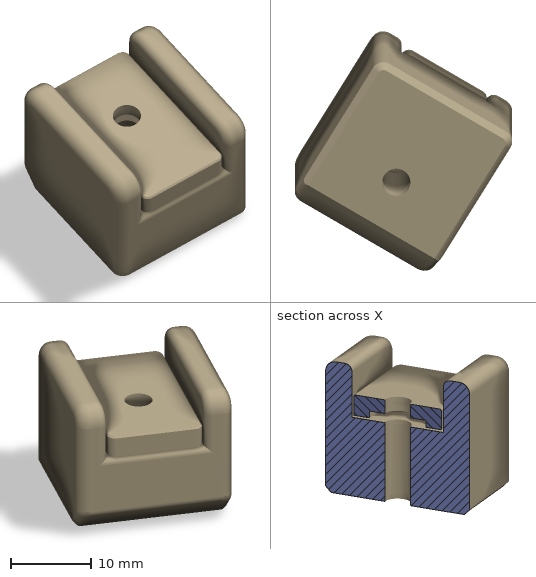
import cadquery as cq
length = 21.5
width = 20.0
height = 17.5
top_corner_radius = 2.5
outer_edge_radius = 1.5
slope_size = 3.0
slope_edge_radius = 0.99
base_chamfer = 0.8

channel_width = 12.6
channel_floor_z = 10.5
channel_edge_radius = 1.0
front_floor_radius = 0.77

side_clearance = 0.24
floor_clearance = 0.25
plate_length = length
plate_width = channel_width - 2 * side_clearance
plate_thickness = 2.77
plate_bottom_z = channel_floor_z + floor_clearance
plate_corner_radius = 0.99
plate_chamfer = 0.2
recess_diameter = 7.75
recess_depth = 0.9

hole_diameter = 3.5
hole_x = -1.75

slope_end_x = slope_size - length / 2
slope_direction = cq.Vector(-1, 0, -1)


def make_block():
    """Solid block with a sloped lower front corner and rounded outer edges."""
    block = cq.Workplane("XY").box(length, width, height, centered=(True, True, False))
    block = block.edges("|Y and >Z").fillet(top_corner_radius)
    block = block.edges("|Y and <X and <Z").chamfer(slope_size)

    slope = block.faces(cq.DirectionMinMaxSelector(slope_direction))
    sharp_edges = block.faces("<Z").add(slope).edges().vals()
    outline_edges = [
        edge
        for edge in block.faces("<Y or >Y").edges().vals()
        if not any(edge.isSame(sharp) for sharp in sharp_edges)
    ]
    block = block.newObject(outline_edges).fillet(outer_edge_radius)

    base_edges = block.faces("<Z").edges().vals()
    block = block.newObject([e for e in base_edges if e.Center().x > slope_end_x + 0.22]).chamfer(base_chamfer)

    slope_edges = block.faces(cq.DirectionMinMaxSelector(slope_direction)).edges().vals()
    return block.newObject([e for e in slope_edges if e.Center().z > base_chamfer]).fillet(slope_edge_radius)


def hole_tool():
    """Cylinder that drills the screw hole through the full height."""
    return cq.Workplane("XY").center(hole_x, 0).circle(hole_diameter / 2).extrude(height)


def make_housing():
    """Block with an open channel along X and the screw hole through its floor."""
    channel = (
        cq.Workplane("XY")
        .workplane(offset=channel_floor_z)
        .rect(length, channel_width)
        .extrude(height - channel_floor_z)
    )
    housing = make_block().cut(channel)

    wall_zone = cq.selectors.BoxSelector(
        (-length, -channel_width / 2 - 0.22, channel_floor_z + 0.22),
        (length, channel_width / 2 + 0.22, height + 0.22),
    )
    housing = housing.edges(wall_zone).fillet(channel_edge_radius)
    for end_x, radius in ((-length / 2, front_floor_radius), (length / 2, channel_edge_radius)):
        floor_edge = cq.NearestToPointSelector((end_x, 0, channel_floor_z))
        housing = housing.edges(floor_edge).fillet(radius)
    return housing.cut(hole_tool())


def make_plate():
    """Rounded plate with the screw hole and a wider recess around it underneath."""
    plate = (
        cq.Workplane("XY")
        .workplane(offset=plate_bottom_z)
        .rect(plate_length, plate_width)
        .extrude(plate_thickness)
        .edges("|Z")
        .fillet(plate_corner_radius)
        .faces(">Z")
        .chamfer(plate_chamfer)
    )
    recess = (
        cq.Workplane("XY")
        .workplane(offset=plate_bottom_z)
        .center(hole_x, 0)
        .circle(recess_diameter / 2)
        .extrude(recess_depth)
    )
    return plate.cut(hole_tool()).cut(recess)


housing = make_housing()
plate = make_plate()
result = cq.Compound.makeCompound([housing.val(), plate.val()])